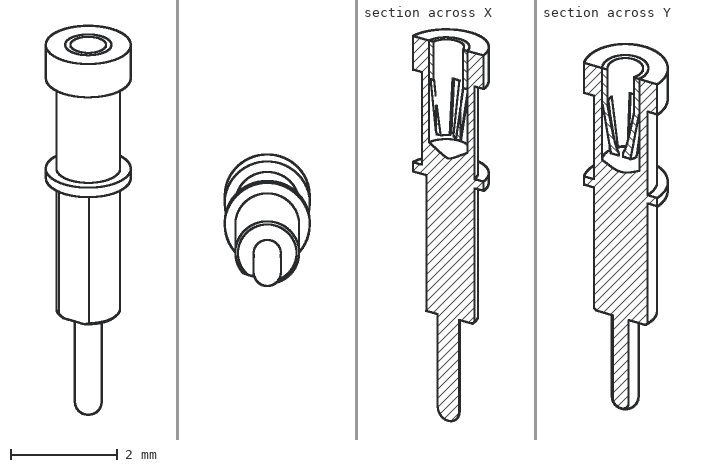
import cadquery as cq
import math

FLANGE_THICKNESS = 0.2
HEAD_HEIGHT = 0.7
TOP_Z = 2.8
BARREL_BOTTOM_Z = -2.8
TIP_Z = -4.95
HEAD_BOTTOM_Z = TOP_Z - HEAD_HEIGHT

RIM_DIAMETER = 1.6
BARREL_DIAMETER = 1.2
BARREL_CHAMFER = 0.05
FLAT_DISTANCE = 0.5
TAIL_DIAMETER = 0.51
TAIL_TIP_RADIUS = 0.25

CLIP_DIAMETER = 0.87
CLIP_BORE = 0.67
FINGER_END_BORE = 0.36
CLIP_WALL = (CLIP_DIAMETER - CLIP_BORE) / 2
COLLAR_LENGTH = 0.8
FINGER_LENGTH = 1.1
CLIP_BOTTOM_Z = TOP_Z - COLLAR_LENGTH - FINGER_LENGTH
FINGER_COUNT = 4
SLOT_ANGLE = 27

SOCKET_CLEARANCE_BELOW_CLIP = 0.2
SOCKET_POINT_ANGLE = 118
SOCKET_CONE_Z = CLIP_BOTTOM_Z - SOCKET_CLEARANCE_BELOW_CLIP
SOCKET_CONE_DEPTH = CLIP_DIAMETER / 2 / math.tan(math.radians(SOCKET_POINT_ANGLE / 2))


def cylinder(diameter, bottom_z, top_z):
    return cq.Workplane("XY").workplane(offset=bottom_z).circle(diameter / 2).extrude(top_z - bottom_z)


def make_barrel():
    """Barrel with a chamfered lower edge and a flat that runs up to the flange."""
    barrel = cylinder(BARREL_DIAMETER, BARREL_BOTTOM_Z, HEAD_BOTTOM_Z).faces("<Z").chamfer(BARREL_CHAMFER)
    cut_size = BARREL_DIAMETER
    flat_cut = (
        cq.Workplane("XY")
        .workplane(offset=BARREL_BOTTOM_Z)
        .center(0, -FLAT_DISTANCE - cut_size / 2)
        .rect(cut_size, cut_size)
        .extrude(-BARREL_BOTTOM_Z)
    )
    return barrel.cut(flat_cut)


def make_socket():
    """Volume of the drilled socket: a bore with a conical bottom."""
    radius = CLIP_DIAMETER / 2
    profile = cq.Workplane("XZ").moveTo(0, TOP_Z).lineTo(radius, TOP_Z).lineTo(radius, SOCKET_CONE_Z)
    return profile.lineTo(0, SOCKET_CONE_Z - SOCKET_CONE_DEPTH).close().revolve(360, (0, 0), (0, 1))


def make_terminal():
    head = cylinder(RIM_DIAMETER, HEAD_BOTTOM_Z, TOP_Z)
    flange = cylinder(RIM_DIAMETER, 0, FLANGE_THICKNESS)
    tail = cylinder(TAIL_DIAMETER, TIP_Z, BARREL_BOTTOM_Z).faces("<Z").edges().fillet(TAIL_TIP_RADIUS)
    return make_barrel().union(head).union(flange).union(tail).cut(make_socket())


def make_clip():
    """Sleeve lining the socket mouth, slotted lengthwise below its collar."""
    bore_radius = CLIP_BORE / 2
    end_radius = FINGER_END_BORE / 2
    collar_bottom_z = TOP_Z - COLLAR_LENGTH
    sleeve = (
        cq.Workplane("XZ")
        .moveTo(bore_radius, TOP_Z)
        .lineTo(bore_radius + CLIP_WALL, TOP_Z)
        .lineTo(bore_radius + CLIP_WALL, collar_bottom_z)
        .lineTo(end_radius + CLIP_WALL, CLIP_BOTTOM_Z)
        .lineTo(end_radius, CLIP_BOTTOM_Z)
        .lineTo(bore_radius, collar_bottom_z)
        .close()
        .revolve(360, (0, 0), (0, 1))
    )
    slot_reach = CLIP_DIAMETER
    slot_half_width = slot_reach * math.tan(math.radians(SLOT_ANGLE / 2))
    slot = (
        cq.Workplane("XY")
        .workplane(offset=CLIP_BOTTOM_Z)
        .polyline([(0, 0), (slot_reach, -slot_half_width), (slot_reach, slot_half_width)])
        .close()
        .extrude(FINGER_LENGTH)
    )
    for index in range(FINGER_COUNT):
        sleeve = sleeve.cut(slot.rotate((0, 0, 0), (0, 0, 1), index * 360 / FINGER_COUNT))
    return sleeve


terminal = make_terminal()
clip = make_clip()
result = cq.Compound.makeCompound([terminal.val(), clip.val()])